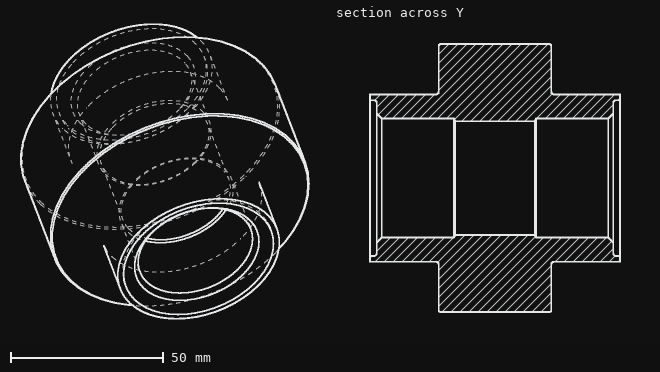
import cadquery as cq

length = 82.0
body_diameter = 88.0
body_width = 37.0
spigot_diameter = 55.0

body_edge_chamfer = 0.5
spigot_root_fillet = 0.8

recess_diameter = 51.0
recess_depth = 2.2
recess_floor_fillet = 0.8
bore_diameter = 38.95
bore_mouth_chamfer = 1.7
throat_diameter = 37.2
throat_width = 26.0
throat_lead_in = 0.5


def disc(diameter, width):
    """Cylinder along X, centred on the origin."""
    return cq.Workplane("YZ", origin=(-width / 2, 0, 0)).circle(diameter / 2).extrude(width)


def end_plug(diameter, depth):
    """Cylinder reaching inwards from the -X end face to the given depth."""
    return cq.Workplane("YZ", origin=(-length / 2, 0, 0)).circle(diameter / 2).extrude(depth)


def cone_plug(outer_end_x, outer_end_diameter, inner_end_diameter, depth):
    """Truncated cone about X, from the diameter at outer_end_x to the one at depth further along +X."""
    outer_radius = outer_end_diameter / 2
    inner_radius = inner_end_diameter / 2
    inner_end_x = outer_end_x + depth
    profile = (
        cq.Workplane("XY")
        .moveTo(outer_end_x, 0)
        .lineTo(outer_end_x, outer_radius)
        .lineTo(inner_end_x, inner_radius)
        .lineTo(inner_end_x, 0)
        .close()
    )
    return profile.revolve(360, (0, 0, 0), (1, 0, 0))


def outer_shape():
    """Wide body with a spigot on each side, blended at the root."""
    body = disc(body_diameter, body_width).edges().chamfer(body_edge_chamfer)
    joined = body.union(disc(spigot_diameter, length))
    root_tolerance = 0.01
    root_half_width = body_width / 2 + root_tolerance
    root_radius = spigot_diameter / 2 + root_tolerance
    root_zone = cq.selectors.BoxSelector(
        (-root_half_width, -root_radius, -root_radius),
        (root_half_width, root_radius, root_radius),
        boundingbox=True,
    )
    return joined.edges("%CIRCLE").edges(root_zone).fillet(spigot_root_fillet)


def end_bore():
    """Stepped bore of the -X end: floor-filleted recess, chamfered mouth, bore, lead-in to the throat."""
    recess = end_plug(recess_diameter, recess_depth).edges(">X").fillet(recess_floor_fillet)
    recess_floor_x = -length / 2 + recess_depth
    mouth_diameter = bore_diameter + 2 * bore_mouth_chamfer
    mouth = cone_plug(recess_floor_x, mouth_diameter, bore_diameter, bore_mouth_chamfer)
    lead_in_x = -throat_width / 2 - throat_lead_in
    bore = end_plug(bore_diameter, length / 2 + lead_in_x)
    lead_in = cone_plug(lead_in_x, bore_diameter, throat_diameter, throat_lead_in)
    return recess.union(mouth).union(bore).union(lead_in)


left_bore = end_bore()
result = (
    outer_shape()
    .cut(disc(throat_diameter, length))
    .cut(left_bore)
    .cut(left_bore.mirror("YZ"))
)